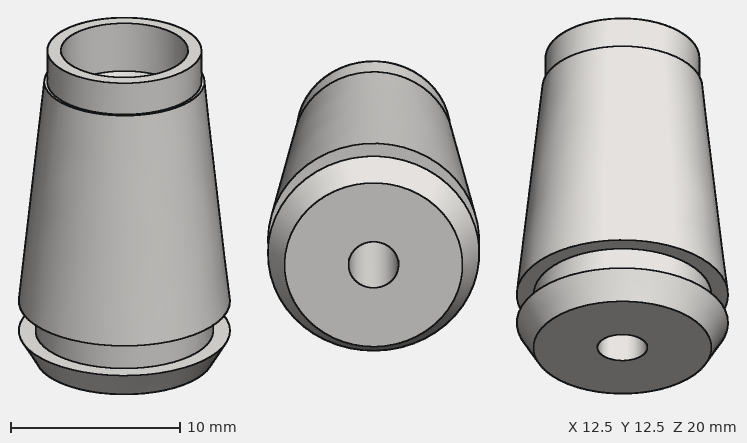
import cadquery as cq
import math

total_height = 20.0
flange_top = 1.7
body_bottom = 3.65
body_top = 17.95

outer_diameter = 12.5
flange_radius = outer_diameter / 2
groove_radius = 5.25
body_top_radius = 4.75
neck_radius = 4.55

socket_radius = 3.75
socket_depth = 3.12
hole_radius = 1.48
funnel_half_angle = 30.0
socket_floor = total_height - socket_depth
funnel_depth = (socket_radius - hole_radius) / math.tan(math.radians(funnel_half_angle))
funnel_bottom = socket_floor - funnel_depth

half_section = (
    cq.Workplane("XZ")
    .moveTo(hole_radius, 0)
    .lineTo(groove_radius, 0)
    .lineTo(flange_radius, flange_top)
    .lineTo(groove_radius, flange_top)
    .lineTo(groove_radius, body_bottom)
    .lineTo(flange_radius, body_bottom)
    .lineTo(body_top_radius, body_top)
    .lineTo(neck_radius, body_top)
    .lineTo(neck_radius, total_height)
    .lineTo(socket_radius, total_height)
    .lineTo(socket_radius, socket_floor)
    .lineTo(hole_radius, funnel_bottom)
    .close()
)

result = half_section.revolve(360, (0, 0, 0), (0, 1, 0))